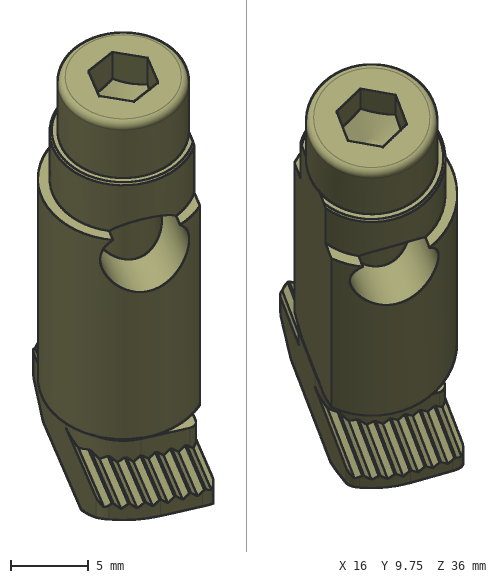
import cadquery as cq
import math

total_height = 36.0
head_diameter = 8.5
head_height = 5.0
head_round = 0.5
shank_diameter = 5.0
shank_length = 30.0
hex_across_flats = 4.0
hex_depth = 2.5
hex_point_angle = 120.0

sleeve_diameter = 11.0
neck_diameter = 9.5
sleeve_bottom = 7.02
shoulder_height = 26.5
bottom_chamfer = 0.9
neck_chamfer = 0.15
flat_distance = 4.0
cross_hole_diameter = 6.0
cross_hole_height = 24.5

nut_length = 16.0
nut_width = 7.7
nut_corner_round = 1.0
tooth_tip_height = 4.5
tooth_pitch = 1.0
tooth_tip_width = 0.1
collar_top = 6.05
collar_corner_round = 0.55
taper_height = 3.0

head_bottom = total_height - head_height
hex_across_corners = hex_across_flats / math.cos(math.pi / 6)
groove_depth = (tooth_pitch - tooth_tip_width) / 2


def cylinder(diameter, bottom, top):
    return cq.Workplane("XY").workplane(offset=bottom).circle(diameter / 2).extrude(top - bottom)


def hex_socket():
    """Hexagonal recess ending in a drill-point cone."""
    corner_radius = hex_across_corners / 2
    cone_height = corner_radius / math.tan(math.radians(hex_point_angle / 2))
    cone_base = total_height - hex_depth
    drilled = (
        cq.Workplane("XZ")
        .moveTo(0, total_height)
        .lineTo(corner_radius, total_height)
        .lineTo(corner_radius, cone_base)
        .lineTo(0, cone_base - cone_height)
        .close()
        .revolve(360, (0, 0), (0, 1))
    )
    hexagon = (
        cq.Workplane("XY")
        .workplane(offset=head_bottom)
        .polygon(6, hex_across_corners)
        .extrude(head_height)
    )
    return hexagon.intersect(drilled)


def make_screw():
    head = cylinder(head_diameter, head_bottom, total_height).faces(">Z").edges().fillet(head_round)
    shank = cylinder(shank_diameter, head_bottom - shank_length, head_bottom)
    return head.union(shank).cut(hex_socket())


def make_sleeve():
    barrel = cylinder(sleeve_diameter, sleeve_bottom, shoulder_height)
    barrel = barrel.faces("<Z").edges().chamfer(bottom_chamfer)
    neck = cylinder(neck_diameter, shoulder_height, head_bottom).faces(">Z").edges().chamfer(neck_chamfer)
    beyond_flat = (
        cq.Workplane("XY")
        .workplane(offset=sleeve_bottom)
        .center(0, flat_distance + sleeve_diameter / 2)
        .rect(sleeve_diameter, sleeve_diameter)
        .extrude(head_bottom - sleeve_bottom)
    )
    bore = cylinder(shank_diameter, sleeve_bottom, head_bottom)
    cross_hole = (
        cq.Workplane("YZ")
        .center(0, cross_hole_height)
        .circle(cross_hole_diameter / 2)
        .extrude(sleeve_diameter / 2, both=True)
    )
    return barrel.union(neck).cut(beyond_flat).cut(bore).cut(cross_hole)


def swing_block(length, width, height, corner_round, corners):
    """Block with two opposite square quadrants and two swung to an arc about Z.

    corners is the selector of the upright edges to round.
    """
    x = length / 2
    y = width / 2
    arc_start = math.sqrt(x**2 - y**2)
    half_angle = math.asin(y / x) / 2
    arc_x = x * math.cos(half_angle)
    arc_y = x * math.sin(half_angle)
    block = (
        cq.Workplane("XY")
        .moveTo(-x, -y)
        .lineTo(arc_start, -y)
        .threePointArc((arc_x, -arc_y), (x, 0))
        .lineTo(x, y)
        .lineTo(-arc_start, y)
        .threePointArc((-arc_x, arc_y), (-x, 0))
        .close()
        .extrude(height)
    )
    return block.edges("|Z").edges(corners).fillet(corner_round)


def tapered_envelope():
    """Nut ends sloped at 45 degrees: flat in the square quadrants, conical in the swung ones."""
    x = nut_length / 2

    def end_profile():
        return (
            cq.Workplane("XZ")
            .lineTo(x - taper_height, 0)
            .lineTo(x, taper_height)
            .lineTo(x, tooth_tip_height)
            .lineTo(0, tooth_tip_height)
            .close()
        )

    flat_end = end_profile().extrude(-nut_width / 2)
    conical_end = end_profile().revolve(-90, (0, 0), (0, 1))
    half = flat_end.union(conical_end)
    return half.union(half.rotate((0, 0, 0), (0, 0, 1), 180))


def tooth_grooves():
    """V grooves along X, with flat-topped teeth between, one of them on the centre line."""
    pairs = math.ceil(nut_width / 2 / tooth_pitch)
    grooves = cq.Workplane("YZ")
    for index in range(-pairs, pairs):
        valley = (index + 0.5) * tooth_pitch
        grooves = (
            grooves.moveTo(valley - groove_depth, tooth_tip_height)
            .lineTo(valley, tooth_tip_height - groove_depth)
            .lineTo(valley + groove_depth, tooth_tip_height)
            .close()
        )
    return grooves.extrude(nut_length / 2, both=True)


def make_nut():
    plate = swing_block(nut_length, nut_width, tooth_tip_height, nut_corner_round, ">Y or <Y")
    plate = plate.intersect(tapered_envelope()).cut(tooth_grooves())
    collar = swing_block(nut_width, nut_width, collar_top, collar_corner_round, ">(1,1,0) or <(1,1,0)")
    screw_hole = cylinder(shank_diameter, 0, collar_top)
    return plate.union(collar).cut(screw_hole)


screw = make_screw()
sleeve = make_sleeve()
nut = make_nut()

result = cq.Compound.makeCompound([screw.solids().val(), sleeve.solids().val(), nut.solids().val()])